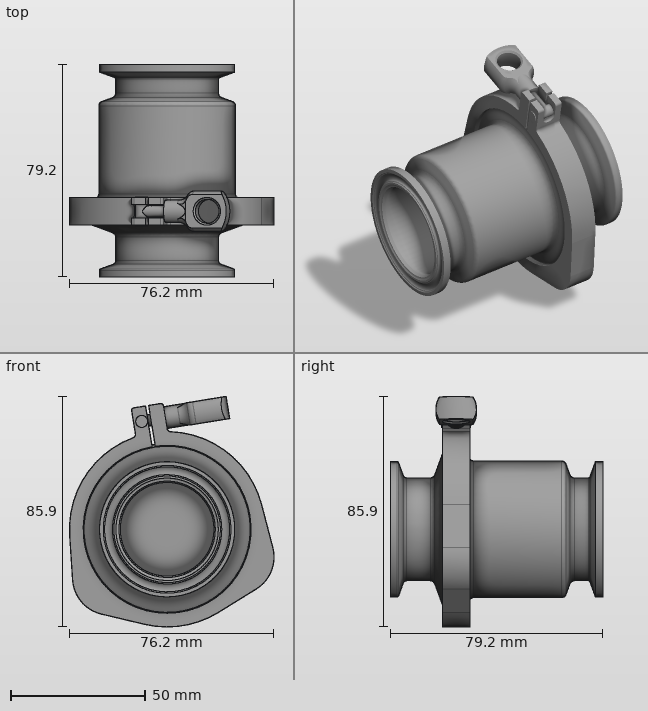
import cadquery as cq
import math


length = 79.2
cone_slope = math.tan(math.radians(20))
rim_r = 25.2
rim_width = 2.9
rim_edge_round = 0.7
neck_r = 19.2
neck_round = 1.7
front_ferrule_round = 1.4
rear_ferrule_round = 0.5
body_r = 25.4
shoulder_y = 64.95
body_edge_round = 1.7

clamp_front = 19.3
clamp_width = 10.3
clamp_rear = clamp_front + clamp_width
clamp_mid = clamp_front + clamp_width / 2
clamp_bore_r = 31.3
lug_tilt = 9.2
lobe_spread = 121.0
lobe_distance = 27.8
lobe_r = 14.0

joint_cone_r = 30.9
joint_r = 32.0
joint_recess_front = 1.0
joint_recess_rear = 1.9
joint_front = clamp_front + joint_recess_front
joint_rear = clamp_rear - joint_recess_rear
joint_round = 1.7

bore_r = 17.4
bore_depth = 18.7
mouth_r = 19.1
mouth_inner_r = 18.0
mouth_drop = 0.4
bore_start = 1.6
groove_r = 21.8
groove_half_width = 2.0
groove_lip = 0.5
groove_lip_drop = 0.4
groove_depth = 1.5

lug_half_width = 6.0
lug_top = 46.65
lug_corner_round = 1.0
lug_root_round = 1.3
split_width = 1.1
fork_width = 5.1

bolt_v = 41.15
pin_u = -2.9
pin_r = 2.2
pin_overhang = 0.3
rod_r = 2.15
joint_overlap = 0.9
shank_r = 4.1
eye_r = 7.6
eye_half_thickness = 4.2
taper_half_thickness = 2.9
flat_start_u = 14.35
flare_r = 4.1
eye_round = 2.6
eye_round_end_u = 16.9
eye_end_u = 29.6
eye_end_r = 12.9
eye_hole_u = 22.3
eye_hole_r = 4.5
eye_hole_chamfer = 0.7

full_height = 85.9
tilt = math.radians(lug_tilt)
eye_top_z = eye_end_u * math.sin(tilt) + (bolt_v + eye_half_thickness) * math.cos(tilt)
clamp_r = full_height - eye_top_z

lug_plane = cq.Plane(
    origin=(0, clamp_mid, 0),
    xDir=(math.cos(tilt), 0, math.sin(tilt)),
    normal=(0, -1, 0),
)

edge_tolerance = 0.04


def revolve_about_y(profile):
    return profile.close().revolve(360, (0, 0, 0), (0, 1, 0))


def circle_at(y, radius):
    """Selector for the circular edge of the body of this radius at this Y."""
    reach = radius + edge_tolerance
    return cq.selectors.BoxSelector(
        (-reach, y - edge_tolerance, -reach), (reach, y + edge_tolerance, reach)
    )


def make_body():
    rim_rise = (rim_r - neck_r) * cone_slope
    front_neck_start = rim_width + rim_rise
    front_neck_end = joint_front - (joint_cone_r - neck_r) * cone_slope
    body_start = joint_rear + (joint_cone_r - body_r) * cone_slope
    rear_neck_start = shoulder_y + (body_r - neck_r) * cone_slope
    rear_neck_end = length - rim_width - rim_rise
    outline = [
        (0, 0),
        (rim_r, 0),
        (rim_r, rim_width),
        (neck_r, front_neck_start),
        (neck_r, front_neck_end),
        (joint_cone_r, joint_front),
        (joint_r, joint_front),
        (joint_r, joint_rear),
        (joint_cone_r, joint_rear),
        (body_r, body_start),
        (body_r, shoulder_y),
        (neck_r, rear_neck_start),
        (neck_r, rear_neck_end),
        (rim_r, length - rim_width),
        (rim_r, length),
        (0, length),
    ]
    body = revolve_about_y(cq.Workplane("XY").polyline(outline))
    rounds = [
        (rim_width, rim_r, rim_edge_round),
        (front_neck_start, neck_r, front_ferrule_round),
        (front_neck_end, neck_r, neck_round),
        (body_start, body_r, joint_round),
        (shoulder_y, body_r, body_edge_round),
        (rear_neck_start, neck_r, neck_round),
        (rear_neck_end, neck_r, rear_ferrule_round),
    ]
    for y, radius, round_r in rounds:
        body = body.edges(circle_at(y, radius)).fillet(round_r)
    return body


def make_port():
    """Cutter for the blind bore and gasket groove of the front ferrule."""
    mouth_width = mouth_r - mouth_inner_r
    mouth_round = (mouth_width**2 + mouth_drop**2) / (2 * mouth_drop)
    bore = revolve_about_y(
        cq.Workplane("XY")
        .lineTo(mouth_r, 0)
        .radiusArc((mouth_inner_r, mouth_drop), -mouth_round)
        .lineTo(bore_r, bore_start)
        .lineTo(bore_r, bore_depth)
        .lineTo(0, bore_depth)
    )
    outer = groove_r + groove_half_width
    inner = groove_r - groove_half_width
    groove = revolve_about_y(
        cq.Workplane("XY")
        .moveTo(inner, 0)
        .radiusArc((inner + groove_lip, groove_lip_drop), groove_lip)
        .threePointArc((groove_r, groove_depth), (outer - groove_lip, groove_lip_drop))
        .radiusArc((outer, 0), groove_lip)
    )
    return bore.union(groove)


def polar(radius, degrees, center=(0, 0)):
    angle = math.radians(degrees)
    return (center[0] + radius * math.cos(angle), center[1] + radius * math.sin(angle))


def make_clamp():
    half_wrap = math.degrees(math.acos((clamp_r - lobe_r) / lobe_distance))
    left_lobe = 90 + lobe_spread
    right_lobe = 450 - lobe_spread
    top_start = right_lobe + half_wrap - 360
    outline = cq.Workplane(lug_plane).moveTo(*polar(clamp_r, top_start))
    arcs = [
        (clamp_r, top_start, left_lobe - half_wrap, (0, 0)),
        (lobe_r, left_lobe - half_wrap, left_lobe + half_wrap, polar(lobe_distance, left_lobe)),
        (clamp_r, left_lobe + half_wrap, right_lobe - half_wrap, (0, 0)),
        (lobe_r, right_lobe - half_wrap, right_lobe + half_wrap, polar(lobe_distance, right_lobe)),
    ]
    for index, (radius, start, end, center) in enumerate(arcs):
        if index > 0:
            outline = outline.lineTo(*polar(radius, start, center))
        outline = outline.threePointArc(
            polar(radius, (start + end) / 2, center), polar(radius, end, center)
        )
    clamp = outline.close().extrude(clamp_width / 2, both=True)

    lugs = (
        cq.Workplane(lug_plane)
        .center(0, lug_top / 2)
        .rect(2 * lug_half_width, lug_top)
        .extrude(clamp_width / 2, both=True)
    )
    clamp = clamp.union(lugs)
    root_v = math.sqrt(clamp_r**2 - lug_half_width**2)
    for side in (-1, 1):
        for v, round_r in ((root_v, lug_root_round), (lug_top, lug_corner_round)):
            corner = lug_plane.toWorldCoords((side * lug_half_width, v, 0))
            clamp = clamp.edges(cq.selectors.NearestToPointSelector(corner)).fillet(round_r)

    bore = cq.Workplane(lug_plane).circle(clamp_bore_r).extrude(clamp_width, both=True)
    split = (
        cq.Workplane(lug_plane)
        .center(0, lug_top)
        .rect(split_width, 2 * (lug_top - clamp_bore_r + joint_overlap))
        .extrude(clamp_width, both=True)
    )
    return clamp.cut(bore).cut(split).cut(make_fork_slot())


def make_fork_slot():
    """Open-topped round-bottomed slot that lets the bolt swing out of the lugs."""
    across_plane = cq.Plane(
        origin=lug_plane.toWorldCoords((0, bolt_v, 0)).toTuple(),
        xDir=(0, 1, 0),
        normal=lug_plane.xDir.toTuple(),
    )
    half = fork_width / 2
    return (
        cq.Workplane(across_plane)
        .moveTo(half, 0)
        .lineTo(half, lug_top)
        .lineTo(-half, lug_top)
        .lineTo(-half, 0)
        .threePointArc((0, -half), (half, 0))
        .close()
        .extrude(2 * lug_half_width, both=True)
    )


def make_pin():
    return (
        cq.Workplane(lug_plane)
        .center(pin_u, bolt_v)
        .circle(pin_r)
        .extrude(clamp_width / 2 + pin_overhang, both=True)
    )


def bolt_cylinder(start_u, end_u, radius):
    """Cylinder on the bolt axis between two positions across the lugs."""
    start_plane = cq.Plane(
        origin=lug_plane.toWorldCoords((start_u, bolt_v, 0)).toTuple(),
        normal=lug_plane.xDir.toTuple(),
    )
    return cq.Workplane(start_plane).circle(radius).extrude(end_u - start_u)


def make_eye_bolt():
    rod = bolt_cylinder(pin_u, lug_half_width + joint_overlap, rod_r)
    shank = bolt_cylinder(lug_half_width, eye_round_end_u, shank_r)

    flare_angle = math.acos(1 - (eye_r - shank_r) / (flare_r + eye_round))
    flare_start_u = eye_round_end_u - (flare_r + eye_round) * math.sin(flare_angle)
    inflection = (
        flare_start_u + flare_r * math.sin(flare_angle),
        shank_r + flare_r * (1 - math.cos(flare_angle)),
    )
    head = (
        cq.Workplane(lug_plane)
        .center(0, bolt_v)
        .moveTo(flare_start_u, 0)
        .lineTo(flare_start_u, shank_r)
        .radiusArc(inflection, -flare_r)
        .radiusArc((eye_round_end_u, eye_r), eye_round)
        .lineTo(eye_end_u, eye_r)
        .lineTo(eye_end_u, 0)
        .close()
        .revolve(360, (0, 0, 0), (1, 0, 0))
    )
    flats = (
        cq.Workplane(lug_plane)
        .center(0, bolt_v)
        .polyline([
            (flare_start_u, -taper_half_thickness),
            (flat_start_u, -eye_half_thickness),
            (eye_end_u, -eye_half_thickness),
            (eye_end_u, eye_half_thickness),
            (flat_start_u, eye_half_thickness),
            (flare_start_u, taper_half_thickness),
        ])
        .close()
        .extrude(2 * eye_r, both=True)
    )
    eye_plane = cq.Plane(
        origin=lug_plane.toWorldCoords((0, bolt_v, 0)).toTuple(),
        xDir=lug_plane.xDir.toTuple(),
        normal=lug_plane.yDir.toTuple(),
    )
    dome_u = eye_end_u - eye_end_r
    end_shape = (
        cq.Workplane(eye_plane)
        .moveTo(-eye_end_u, -eye_end_r)
        .lineTo(dome_u, -eye_end_r)
        .threePointArc((eye_end_u, 0), (dome_u, eye_end_r))
        .lineTo(-eye_end_u, eye_end_r)
        .close()
        .extrude(eye_r, both=True)
    )
    eye = head.intersect(flats).intersect(end_shape).union(shank)
    return eye.cut(make_eye_hole(eye_plane)).union(rod)


def make_eye_hole(eye_plane):
    """Through hole chamfered at both flats."""
    countersink_r = eye_hole_r + eye_hole_chamfer
    inner_v = eye_half_thickness - eye_hole_chamfer
    return (
        cq.Workplane(eye_plane.rotated((90, 0, 0)))
        .center(eye_hole_u, 0)
        .polyline([
            (0, -eye_half_thickness),
            (countersink_r, -eye_half_thickness),
            (eye_hole_r, -inner_v),
            (eye_hole_r, inner_v),
            (countersink_r, eye_half_thickness),
            (0, eye_half_thickness),
        ])
        .close()
        .revolve(360, (0, 0, 0), (0, 1, 0))
    )


front_port = make_port()
rear_port = front_port.mirror("XZ").translate((0, length, 0))
body = make_body().cut(front_port).cut(rear_port)

result = body.union(make_clamp()).union(make_pin()).union(make_eye_bolt())